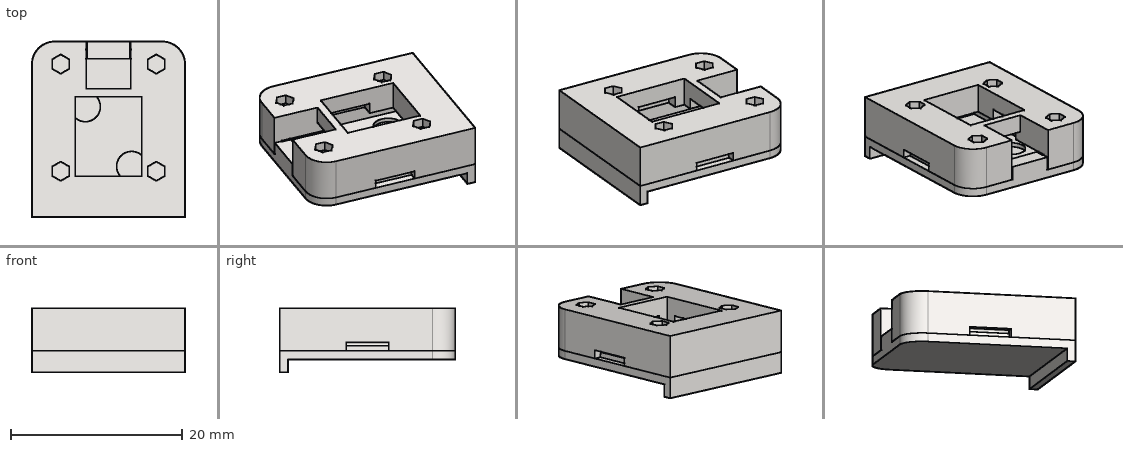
import cadquery as cq
import math

WIDTH = 17.9
LENGTH = 20.5
CORNER_R = 2.7
FRONT_Y = -LENGTH / 2
BACK_Y = LENGTH / 2

PLATE_T = 1.0
LIP_T = 1.0
LIP_DROP = 1.5
RIM_INSET = 0.9
RIM_H = 1.6
RIM_DRAFT = 2.5
RIM_TOP = PLATE_T + RIM_H
POCKET_W = 10.6
POCKET_MARGIN = 2.0
GROOVE_R = 0.2
GROOVE_Z = 1.8
RECESS_D = 3.5
RECESS_DEPTH = 0.5
RECESS_X = 2.7
RECESS_Y = 3.48

HOUSING_H = 5.0
HOUSING_TOP = PLATE_T + HOUSING_H
WINDOW_W = 7.75
WINDOW_L = 9.25
WINDOW_SETBACK = 6.48
WINDOW_Y = BACK_Y - WINDOW_SETBACK - WINDOW_L / 2
PASSAGE_H = 1.3
NOTCH_W = 5.0
NOTCH_Y = 0.0
SIDE_SLOT_H = 1.0
HEX_FLATS = 1.95
HEX_DEPTH = 1.1
HEX_SPACING_X = 11.15
HEX_SPACING_Y = 12.5
HEX_SETBACK = 2.65
HEX_Y = BACK_Y - HEX_SETBACK - HEX_SPACING_Y / 2

PORT_W = 5.2
PORT_L = 5.5
TONGUE_W = 5.0
PORT_RELIEF = 0.1


def box(width, length, z_bottom, z_top, x=0.0, y=0.0):
    """Upright box centred on (x, y)."""
    height = z_top - z_bottom
    return cq.Workplane("XY").box(width, length, height).translate((x, y, z_bottom + height / 2))


def rounded_block(z_bottom, height, inset=0.0, draft=0.0):
    """Part outline, inset all round, with its two back corners rounded."""
    half_w = WIDTH / 2 - inset
    front = FRONT_Y + inset
    back = BACK_Y - inset
    radius = CORNER_R - inset
    diagonal = radius * (1 - math.sqrt(0.5))
    outline = (
        cq.Workplane("XY", origin=(0, 0, z_bottom))
        .moveTo(-half_w, front)
        .lineTo(half_w, front)
        .lineTo(half_w, back - radius)
        .threePointArc((half_w - diagonal, back - diagonal), (half_w - radius, back))
        .lineTo(-half_w + radius, back)
        .threePointArc((-half_w + diagonal, back - diagonal), (-half_w, back - radius))
        .close()
    )
    return outline.extrude(height, taper=draft)


def rim_block():
    """Drafted block that plugs into the underside of the housing."""
    return rounded_block(PLATE_T, RIM_H, RIM_INSET, RIM_DRAFT)


def side_groove(side):
    """Half-round groove along the rim flank, level with a housing side slot."""
    lean = (GROOVE_Z - PLATE_T) * math.tan(math.radians(RIM_DRAFT))
    x = side * (WIDTH / 2 - RIM_INSET - lean)
    return (
        cq.Workplane("XZ", origin=(x, NOTCH_Y + NOTCH_W / 2, GROOVE_Z))
        .circle(GROOVE_R)
        .extrude(NOTCH_W)
    )


def make_base():
    base = rounded_block(0, PLATE_T)
    base = base.union(box(WIDTH, LIP_T, -LIP_DROP, PLATE_T, y=FRONT_Y + LIP_T / 2))

    tongue_y = BACK_Y - POCKET_MARGIN / 2
    rim = rim_block().cut(box(POCKET_W, LENGTH - 2 * POCKET_MARGIN, PLATE_T, RIM_TOP))
    rim = rim.cut(box(PORT_W, POCKET_MARGIN, RIM_TOP - PORT_RELIEF, RIM_TOP, y=tongue_y))
    for side in (-1, 1):
        rim = rim.cut(side_groove(side))
    base = base.union(rim)
    base = base.union(box(TONGUE_W, POCKET_MARGIN, PLATE_T, RIM_TOP, y=tongue_y))

    recesses = (
        cq.Workplane("XY", origin=(0, WINDOW_Y, PLATE_T))
        .pushPoints([(-RECESS_X, RECESS_Y), (RECESS_X, -RECESS_Y)])
        .circle(RECESS_D / 2)
        .extrude(-RECESS_DEPTH)
    )
    return base.cut(recesses)


def make_housing():
    housing = rounded_block(PLATE_T, HOUSING_H).cut(rim_block())
    housing = housing.cut(box(WINDOW_W, WINDOW_L, RIM_TOP, HOUSING_TOP, y=WINDOW_Y))

    housing = housing.cut(box(PORT_W, PORT_L, PLATE_T, HOUSING_TOP, y=BACK_Y - PORT_L / 2))
    passage_l = BACK_Y - WINDOW_Y
    passage_top = RIM_TOP + PASSAGE_H
    housing = housing.cut(box(PORT_W, passage_l, RIM_TOP, passage_top, y=BACK_Y - passage_l / 2))

    housing = housing.cut(box(POCKET_W, NOTCH_W, RIM_TOP, passage_top, y=NOTCH_Y))

    housing = housing.cut(box(WIDTH, NOTCH_W, PLATE_T, PLATE_T + SIDE_SLOT_H, y=NOTCH_Y))

    hex_holes = (
        cq.Workplane("XY", origin=(0, HEX_Y, HOUSING_TOP))
        .rarray(HEX_SPACING_X, HEX_SPACING_Y, 2, 2)
        .polygon(6, HEX_FLATS, circumscribed=True)
        .extrude(-HEX_DEPTH)
    )
    return housing.cut(hex_holes)


base = make_base()
housing = make_housing()
result = cq.Compound.makeCompound([base.val(), housing.val()])